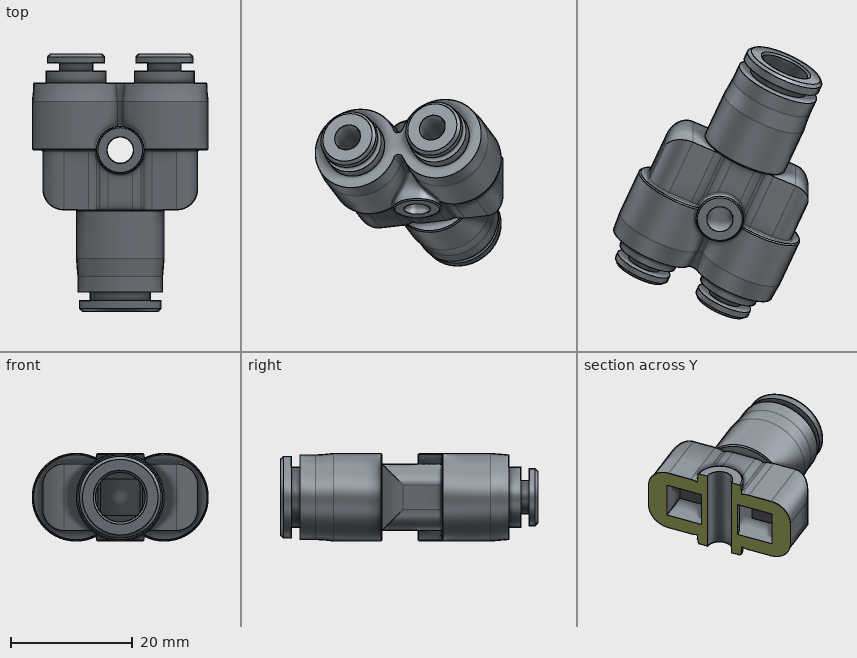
import cadquery as cq
import math


OVERLAP = 0.5
TOLERANCE = 0.001
EDGE_SAMPLES = (0, 0.3, 0.7, 1)

sleeve_radius = 7.2
port_pitch = 14.5
arm_x = port_pitch / 2
block_end_y = -9.8
sleeve_edge = 0.22

bar_half = 5.45
bar_corner = 3.45
root_fillet = 0.25
groove_fillet = 0.6

small_taper_y = 7.95
small_sleeve_end_y = 11.0
small_ring_end_y = 12.95
small_neck_end_y = 14.3
small_end_y = 15.8
small_taper_radius = 6.95
small_ring_radius = 4.93
small_neck_radius = 2.75
small_collar_radius = 4.7
small_bore_radius = 2.2

large_taper_y = -17.8
large_sleeve_end_y = -20.75
large_ring_end_y = -23.3
large_neck_end_y = -24.7
large_end_y = -26.5
large_ring_radius = 6.95
large_neck_radius = 4.95
large_collar_radius = 6.7
large_bore_radius = 4.08

collar_chamfer = 0.5
bore_chamfer = 0.35

web_fillet = 0.48
web_end_fillet = 0.8

boss_radius = 3.9
boss_chamfer = 0.22
boss_fillet = 0.2
mount_hole_radius = 2.15

post_radius = 3.28
channel_half_width = arm_x / 2
channel_half_height = 3.0
gallery_front_y = -5.0
gallery_half_length = arm_x + small_bore_radius


def turned(x, profile):
    """Revolve (radius, y) points about an axis parallel to Y at the given x."""
    return (
        cq.Workplane("XY")
        .polyline(profile)
        .close()
        .revolve(360, (0, 0, 0), (0, 1, 0))
        .translate((x, 0, 0))
    )


def box_between(x_half, y_low, y_high, z_half):
    """Box centred on X and Z that spans the given Y range."""
    middle_y = (y_low + y_high) / 2
    return cq.Workplane("XY").box(2 * x_half, y_high - y_low, 2 * z_half).translate((0, middle_y, 0))


def upright_cylinder(radius):
    """Cylinder on the Z axis, as tall as the sleeves are thick."""
    return cq.Workplane("XY").workplane(offset=-sleeve_radius).circle(radius).extrude(2 * sleeve_radius)


def small_port(x):
    return turned(x, [
        (0, 0),
        (sleeve_radius - sleeve_edge, 0),
        (sleeve_radius, sleeve_edge),
        (sleeve_radius, small_taper_y),
        (small_taper_radius, small_sleeve_end_y),
        (small_ring_radius, small_sleeve_end_y),
        (small_ring_radius, small_ring_end_y),
        (small_neck_radius, small_ring_end_y),
        (small_neck_radius, small_neck_end_y),
        (small_collar_radius, small_neck_end_y),
        (small_collar_radius, small_end_y - collar_chamfer),
        (small_collar_radius - collar_chamfer, small_end_y),
        (0, small_end_y),
    ])


def large_port():
    return turned(0, [
        (0, block_end_y),
        (sleeve_radius - sleeve_edge, block_end_y),
        (sleeve_radius, block_end_y - sleeve_edge),
        (sleeve_radius, large_taper_y),
        (large_ring_radius, large_sleeve_end_y),
        (large_ring_radius, large_ring_end_y),
        (large_neck_radius, large_ring_end_y),
        (large_neck_radius, large_neck_end_y),
        (large_collar_radius, large_neck_end_y),
        (large_collar_radius, large_end_y + collar_chamfer),
        (large_collar_radius - collar_chamfer, large_end_y),
        (0, large_end_y),
    ])


def bar(x):
    length = OVERLAP - block_end_y
    return (
        cq.Workplane("XY")
        .box(2 * bar_half, length, 2 * bar_half)
        .edges("|Y")
        .fillet(bar_corner)
        .translate((x, block_end_y + length / 2, 0))
    )


def middle_block():
    block = bar(0).union(bar(-arm_x)).union(bar(arm_x))
    groove_lines = [
        edge for edge in block.edges("|Y").vals()
        if abs(abs(edge.Center().x) - arm_x / 2) < TOLERANCE
    ]
    block = block.newObject(groove_lines).fillet(groove_fillet)
    plan = (
        cq.Workplane("XY")
        .box(2 * (arm_x + bar_half), 2 * -block_end_y, 2 * bar_half)
        .edges("|Z and <Y")
        .fillet(bar_corner)
    )
    return block.intersect(plan)


def web_section(y, around_radius, fillet_radius):
    """Web outline at the given y, its hollows touching sleeves of around_radius."""
    hollow_z = math.sqrt((around_radius + fillet_radius) ** 2 - arm_x ** 2)
    touch_share = fillet_radius / (around_radius + fillet_radius)
    touch_x = arm_x * touch_share
    touch_z = hollow_z * (1 - touch_share)
    low_z = hollow_z - fillet_radius
    return (
        cq.Workplane("XZ", origin=(0, y, 0))
        .moveTo(-touch_x, touch_z)
        .threePointArc((0, low_z), (touch_x, touch_z))
        .lineTo(touch_x, -touch_z)
        .threePointArc((0, -low_z), (-touch_x, -touch_z))
        .close()
        .wire()
    )


def web():
    start = web_section(0, sleeve_radius, web_fillet)
    middle = web_section(small_taper_y, sleeve_radius, web_fillet)
    end = web_section(small_sleeve_end_y, small_taper_radius, web_end_fillet)
    straight = cq.Solid.makeLoft([start.val(), middle.val()], True)
    flared = cq.Solid.makeLoft([middle.val(), end.val()], True)
    return cq.Workplane("XY").add(straight).union(cq.Workplane("XY").add(flared))


def boss():
    return (
        upright_cylinder(boss_radius)
        .faces("<Z or >Z")
        .chamfer(boss_chamfer)
        .rotate((0, 0, 0), (0, 0, 1), 90)
    )


def passages():
    large_bore = turned(0, [
        (0, block_end_y),
        (large_bore_radius, block_end_y),
        (large_bore_radius, large_end_y + bore_chamfer),
        (large_bore_radius + bore_chamfer, large_end_y),
        (0, large_end_y),
    ])
    channel = box_between(channel_half_width, block_end_y - OVERLAP, 0, channel_half_height)
    gallery = box_between(gallery_half_length, gallery_front_y, 0, channel_half_height)
    post = upright_cylinder(post_radius)
    cut = large_bore.union(channel).union(gallery).cut(post)
    for x in (-arm_x, arm_x):
        small_bore = turned(x, [
            (0, -OVERLAP),
            (small_bore_radius, -OVERLAP),
            (small_bore_radius, small_end_y),
            (0, small_end_y),
        ])
        cut = cut.union(small_bore)
    return cut


def mount_hole():
    return upright_cylinder(mount_hole_radius)


def is_boss_foot(edge):
    """True for a curve where the boss side meets the block or a sleeve."""
    below_boss_top = abs(edge.Center().z) < sleeve_radius - 2 * boss_chamfer
    on_boss_side = all(
        abs(math.hypot(point.x, point.y) - boss_radius) < TOLERANCE
        for point in edge.positions(EDGE_SAMPLES)
    )
    return below_boss_top and on_boss_side and edge.geomType() != "LINE"


def is_block_root(edge):
    """True for an edge where the block meets the end face of a small sleeve."""
    box = edge.BoundingBox()
    in_sleeve_plane = max(abs(box.ymin), abs(box.ymax)) < TOLERANCE
    within_block = max(abs(box.zmin), abs(box.zmax)) < bar_half + TOLERANCE
    return in_sleeve_plane and within_block and abs(edge.Center().x) > boss_radius


def fillet_where(body, wanted, radius):
    chosen = [edge for edge in body.edges().vals() if wanted(edge)]
    return body.newObject(chosen).fillet(radius)


body = (
    middle_block()
    .union(large_port())
    .union(small_port(-arm_x))
    .union(small_port(arm_x))
    .union(web())
    .union(boss())
)
body = fillet_where(body, is_boss_foot, boss_fillet)
body = fillet_where(body, is_block_root, root_fillet)

result = body.cut(passages()).cut(mount_hole()).solids()